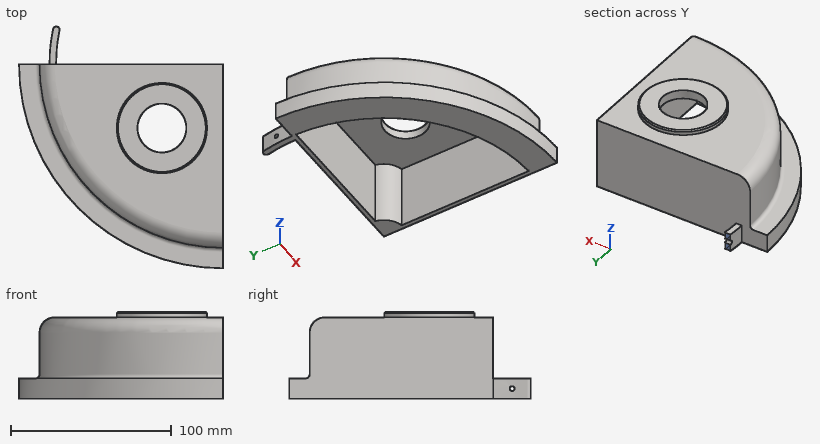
import cadquery as cq
import math

flange_radius = 127.0
flange_height = 12.8
body_radius = 114.2
body_height = 50.7
shoulder_radius = 9.5
root_fillet = 2.5

rim_wall = 6.2
side_wall = 3.0
roof_thickness = 3.0
corner_post_radius = 15.2

boss_x = -38.0
boss_y = -39.7
boss_diameter = 56.3
boss_height = 3.3
boss_edge_break = 0.9
bore_diameter = 30.2

tab_length = 23.5
tab_thickness = 4.2
tab_hole_diameter = 2.9
tab_hole_y = 11.7

cavity_radius = body_radius - rim_wall
cavity_height = body_height - roof_thickness


def quarter_disc(radius, height):
    """Quarter cylinder about the sector corner, filling -X, -Y."""
    half = radius / math.sqrt(2)
    return (
        cq.Workplane("XY")
        .lineTo(-radius, 0)
        .threePointArc((-half, -half), (0, -radius))
        .close()
        .extrude(height)
    )


def make_shell():
    """Stepped quarter-round with a rounded shoulder and root, hollowed from below."""
    half_shoulder = shoulder_radius * (1 - math.sqrt(0.5))
    half_root = root_fillet * (1 - math.sqrt(0.5))
    outer = (
        cq.Workplane("XZ")
        .lineTo(-flange_radius, 0)
        .lineTo(-flange_radius, flange_height)
        .lineTo(-body_radius - root_fillet, flange_height)
        .threePointArc(
            (-body_radius - half_root, flange_height + half_root),
            (-body_radius, flange_height + root_fillet),
        )
        .lineTo(-body_radius, body_height - shoulder_radius)
        .threePointArc(
            (-body_radius + half_shoulder, body_height - half_shoulder),
            (-body_radius + shoulder_radius, body_height),
        )
        .lineTo(0, body_height)
        .close()
        .revolve(90, (0, 0, 0), (0, 1, 0))
    )
    inside_side_walls = cq.Workplane("XY").box(
        flange_radius, flange_radius, body_height, centered=False
    ).translate((-flange_radius - side_wall, -flange_radius - side_wall, 0))
    cavity = (
        quarter_disc(cavity_radius, cavity_height)
        .cut(quarter_disc(corner_post_radius, cavity_height))
        .intersect(inside_side_walls)
    )
    return outer.cut(cavity)


def make_boss():
    """Low round pad with a broken top edge, set on the roof."""
    return (
        cq.Workplane("XY", origin=(boss_x, boss_y, body_height))
        .circle(boss_diameter / 2)
        .extrude(boss_height)
        .faces(">Z")
        .edges()
        .chamfer(boss_edge_break)
    )


def make_tab():
    """Arc-shaped tab with a round free end and a small cross hole."""
    middle_radius = cavity_radius - tab_thickness / 2
    end_round = tab_thickness / 2
    end_angle = math.asin((tab_length - end_round) / middle_radius)
    root_angle = -math.asin(side_wall / cavity_radius)

    def on_arc(radius, angle):
        return (-radius * math.cos(angle), radius * math.sin(angle))

    inner_radius = cavity_radius - tab_thickness
    middle_angle = (root_angle + end_angle) / 2
    end_x, end_y = on_arc(middle_radius, end_angle)
    tip = (end_x + end_round * math.sin(end_angle), end_y + end_round * math.cos(end_angle))
    tab = (
        cq.Workplane("XY")
        .moveTo(*on_arc(inner_radius, root_angle))
        .threePointArc(on_arc(inner_radius, middle_angle), on_arc(inner_radius, end_angle))
        .threePointArc(tip, on_arc(cavity_radius, end_angle))
        .threePointArc(on_arc(cavity_radius, middle_angle), on_arc(cavity_radius, root_angle))
        .close()
        .extrude(flange_height)
    )
    hole = (
        cq.Workplane("YZ", origin=(-flange_radius, tab_hole_y, flange_height / 2))
        .circle(tab_hole_diameter / 2)
        .extrude(flange_radius)
    )
    return tab.cut(hole)


bore = (
    cq.Workplane("XY", origin=(boss_x, boss_y, 0))
    .circle(bore_diameter / 2)
    .extrude(body_height + boss_height)
)

result = make_shell().union(make_boss()).cut(bore).union(make_tab())